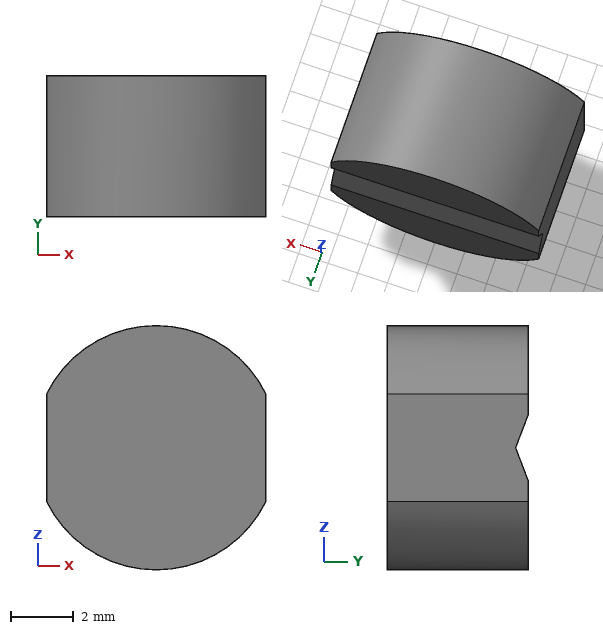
import cadquery as cq

diameter = 7.8
width_across_flats = 7.0
length = 4.5
groove_width = 2.1
groove_depth = 0.4

radius = diameter / 2


def double_flat_cylinder():
    """Cylinder along Y, from Y = 0 to Y = length, with two flats facing -X and +X."""
    cylinder = cq.Workplane("XZ").circle(radius).extrude(-length)
    between_flats = cq.Workplane("XZ").rect(width_across_flats, diameter).extrude(-length)
    return cylinder.intersect(between_flats)


def v_groove():
    """Triangular prism along X that cuts a V across the +Y end face."""
    return (
        cq.Workplane("YZ")
        .moveTo(length, -groove_width / 2)
        .lineTo(length - groove_depth, 0)
        .lineTo(length, groove_width / 2)
        .close()
        .extrude(width_across_flats / 2, both=True)
    )


result = double_flat_cylinder().cut(v_groove())